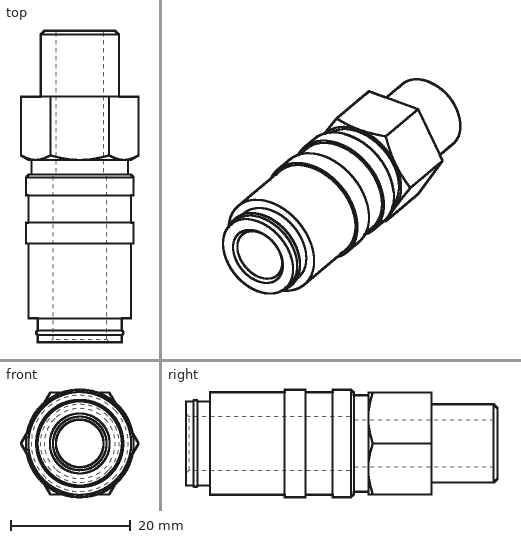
import cadquery as cq
import math

length = 52.0
snap_ring_center = 1.6
sleeve_start = 4.0
front_band_start = 16.5
front_band_end = 19.95
rear_band_start = 24.5
rear_band_end = 28.05
hex_start = 30.4
hex_end = 41.0

nose_radius = 7.0
snap_ring_radius = 7.3
snap_ring_half_width = 0.35
sleeve_radius = 8.6
band_radius = 9.0
band_chamfer = 0.5
neck_radius = 8.05
stud_radius = 6.55
stud_chamfer = 0.7
hex_corner_diameter = 19.65
hex_chamfer_angle = 30.0

socket_radius = 4.45
socket_depth = rear_band_end
socket_chamfer = 0.5
bore_radius = 3.95


def cylinder(radius, start, end):
    """Solid cylinder on the Y axis between two stations."""
    return cq.Workplane("XZ", origin=(0, start, 0)).circle(radius).extrude(start - end)


def snap_ring():
    """Ring with a rounded rim standing slightly proud of the nose."""
    front = snap_ring_center - snap_ring_half_width
    back = snap_ring_center + snap_ring_half_width
    return (
        cq.Workplane("XY")
        .moveTo(0, front)
        .lineTo(nose_radius, front)
        .threePointArc((snap_ring_radius, snap_ring_center), (nose_radius, back))
        .lineTo(0, back)
        .close()
        .revolve(360, (0, 0, 0), (0, 1, 0))
    )


def hexagon():
    """Hexagon with its sleeve-side corners turned down to the flats."""
    corner_radius = hex_corner_diameter / 2
    flat_radius = corner_radius * math.cos(math.radians(30))
    chamfer_length = (corner_radius - flat_radius) * math.tan(math.radians(hex_chamfer_angle))
    prism = (
        cq.Workplane("XZ", origin=(0, hex_start, 0))
        .polygon(6, hex_corner_diameter)
        .extrude(hex_start - hex_end)
    )
    turned_envelope = (
        cq.Workplane("XY")
        .moveTo(0, hex_start)
        .lineTo(flat_radius, hex_start)
        .lineTo(corner_radius, hex_start + chamfer_length)
        .lineTo(corner_radius, hex_end)
        .lineTo(0, hex_end)
        .close()
        .revolve(360, (0, 0, 0), (0, 1, 0))
    )
    return prism.intersect(turned_envelope)


def passage():
    """Through bore with a wider, chamfered socket at the nose."""
    return (
        cq.Workplane("XY")
        .lineTo(socket_radius + socket_chamfer, 0)
        .lineTo(socket_radius, socket_chamfer)
        .lineTo(socket_radius, socket_depth)
        .lineTo(bore_radius, socket_depth)
        .lineTo(bore_radius, length)
        .lineTo(0, length)
        .close()
        .revolve(360, (0, 0, 0), (0, 1, 0))
    )


nose = cylinder(nose_radius, 0, sleeve_start)
sleeve = cylinder(sleeve_radius, sleeve_start, rear_band_start)
front_band = cylinder(band_radius, front_band_start, front_band_end)
rear_band = cylinder(band_radius, rear_band_start, rear_band_end).faces(">Y").chamfer(band_chamfer)
neck = cylinder(neck_radius, rear_band_end, hex_start)
stud = cylinder(stud_radius, hex_end, length).faces(">Y").chamfer(stud_chamfer)

body = nose
for section in (snap_ring(), sleeve, front_band, rear_band, neck, hexagon(), stud):
    body = body.union(section)

result = body.cut(passage()).translate((0, -length / 2, 0))